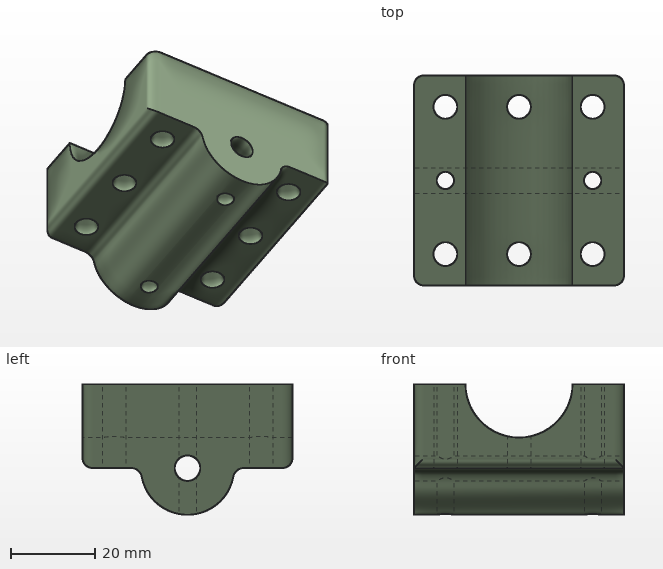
import cadquery as cq
import math

side = 50.0
block_height = 20.0
edge_radius = 2.5

saddle_diameter = 25.4

boss_radius = 11.1
boss_fillet = 2.5
pin_diameter = 6.0

bolt_diameter = 5.6
dowel_diameter = 4.05
hole_offset = 17.5

total_height = block_height + boss_radius


def side_profile():
    """Block with rounded lower edges and a blended hinge boss, extruded along X."""
    half = side / 2
    corner_mid = half - edge_radius * (1 - math.sqrt(0.5))
    corner_mid_z = edge_radius * (1 - math.sqrt(0.5))

    blend_center_distance = boss_radius + boss_fillet
    blend_y = math.sqrt(blend_center_distance**2 - boss_fillet**2)
    touch_ratio = boss_radius / blend_center_distance
    touch_y = blend_y * touch_ratio
    touch_z = -boss_fillet * touch_ratio
    boss_touch_angle = math.pi - math.atan2(boss_fillet, blend_y)
    mid_angle = (math.pi / 2 + boss_touch_angle) / 2
    blend_mid_y = blend_y + boss_fillet * math.cos(mid_angle)
    blend_mid_z = -boss_fillet + boss_fillet * math.sin(mid_angle)

    return (
        cq.Workplane("YZ", origin=(-half, 0, 0))
        .moveTo(-half, block_height)
        .lineTo(-half, edge_radius)
        .threePointArc((-corner_mid, corner_mid_z), (-half + edge_radius, 0))
        .lineTo(-blend_y, 0)
        .threePointArc((-blend_mid_y, blend_mid_z), (-touch_y, touch_z))
        .threePointArc((0, -boss_radius), (touch_y, touch_z))
        .threePointArc((blend_mid_y, blend_mid_z), (blend_y, 0))
        .lineTo(half - edge_radius, 0)
        .threePointArc((corner_mid, corner_mid_z), (half, edge_radius))
        .lineTo(half, block_height)
        .close()
        .extrude(side)
    )


def rounded_plan():
    """Square column with rounded vertical edges, as tall as the part."""
    return (
        cq.Workplane("XY", origin=(0, 0, -boss_radius))
        .rect(side, side)
        .extrude(total_height)
        .edges("|Z")
        .fillet(edge_radius)
    )


def vertical_holes(points, diameter):
    return (
        cq.Workplane("XY", origin=(0, 0, -boss_radius))
        .pushPoints(points)
        .circle(diameter / 2)
        .extrude(total_height)
    )


saddle = (
    cq.Workplane("XZ", origin=(0, side / 2, block_height))
    .circle(saddle_diameter / 2)
    .extrude(side)
)
pin_hole = cq.Workplane("YZ", origin=(-side / 2, 0, 0)).circle(pin_diameter / 2).extrude(side)

bolt_points = [
    (x, y)
    for x in (-hole_offset, 0, hole_offset)
    for y in (-hole_offset, hole_offset)
]
dowel_points = [(-hole_offset, 0), (hole_offset, 0)]

result = (
    side_profile()
    .intersect(rounded_plan())
    .cut(saddle)
    .cut(pin_hole)
    .cut(vertical_holes(bolt_points, bolt_diameter))
    .cut(vertical_holes(dowel_points, dowel_diameter))
)